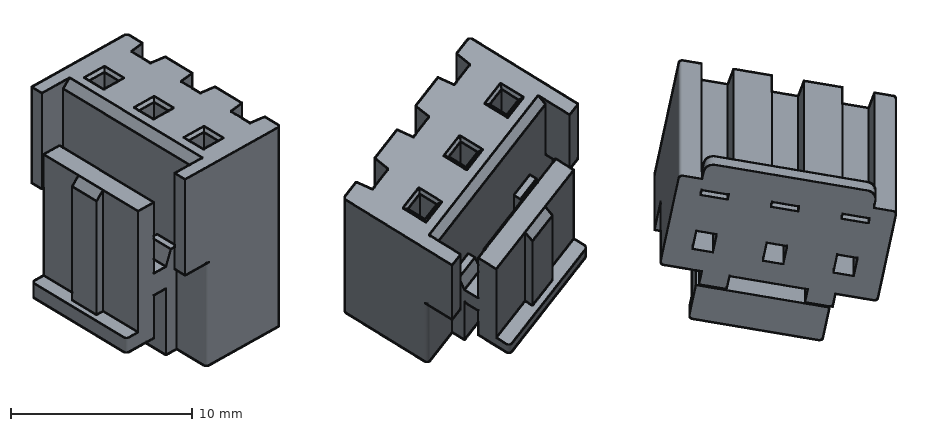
import cadquery as cq


width = 12.2
height = 13.5
depth = 10.55
flange_reach = 1.0

body_depth = 5.68
corner_radius = 0.2
top_chamfer = 0.5

ear_depth = 7.3
ear_thickness = 0.82
ear_bottom = 6.99

pitch = 3.95
contact_count = 3
hole_size = 1.15
hole_lead_in = 0.2
hole_row_depth = 3.82
window_depth = 1.0
window_outer_width = 1.8
window_inner_width = 1.53

flange_width = 9.64
flange_height = 1.0
flange_radius = 0.54
flange_inner_depth = 0.69

lever_width = 7.5
lever_back = 7.42
lever_thickness = 1.22
lever_bottom = 1.6
lever_top = 10.8
foot_front = depth - flange_reach
foot_height = 1.0
foot_radius = 0.22

rib_width = 1.95
rib_thickness = 0.5

hook_width = 5
hook_reach = 0.5
hook_bottom = 9.3
hook_top = 10.15

leg_width = 1.55
leg_depth = 6.51
leg_top_depth = 6.13
hinge_bottom = 4.51
hinge_top = 6.0


def block(x_size, y_front, y_back, z_bottom, z_top):
    """Box centred on X = 0, given by its limits along Y and Z."""
    y_size = y_back - y_front
    z_size = z_top - z_bottom
    box = cq.Workplane("XY").box(x_size, y_size, z_size, centered=(True, False, False))
    return box.translate((0, y_front, z_bottom))


def side_profile(points, x_size, x_center=0):
    """Outline in the YZ plane, extruded evenly about x_center."""
    sketch = cq.Workplane("YZ", origin=(x_center, 0, 0)).polyline(points).close()
    return sketch.extrude(x_size / 2, both=True)


def make_body():
    body = block(width, -body_depth, 0, 0, height)
    body = body.edges("|Z").fillet(corner_radius)
    chamfer_cut = side_profile(
        [
            (-body_depth, height - top_chamfer),
            (-body_depth, height),
            (-body_depth + top_chamfer, height),
        ],
        width - 2 * ear_thickness,
    )
    return body.cut(chamfer_cut)


def make_ear(side):
    ear = block(ear_thickness, -ear_depth, -body_depth + corner_radius, ear_bottom, height)
    return ear.translate((side * (width - ear_thickness) / 2, 0, 0))


def make_flange():
    flange = block(flange_width, -flange_inner_depth, flange_reach, 0, flange_height)
    return flange.edges("|Z and >Y").fillet(flange_radius)


def make_contact_hole(x_center):
    hole = block(hole_size, -hole_row_depth - hole_size / 2, -hole_row_depth + hole_size / 2, 0, height)
    mouth_size = hole_size + 2 * hole_lead_in
    lead_in = (
        cq.Workplane("XY", origin=(0, -hole_row_depth, height - hole_lead_in))
        .rect(hole_size, hole_size)
        .workplane(offset=hole_lead_in)
        .rect(mouth_size, mouth_size)
        .loft()
    )
    return hole.union(lead_in).translate((x_center, 0, 0))


def make_window(x_center):
    outer_half = window_outer_width / 2
    inner_half = window_inner_width / 2
    notch = (
        cq.Workplane("XY", origin=(0, 0, flange_height))
        .polyline(
            [
                (-outer_half, 0),
                (outer_half, 0),
                (inner_half, -window_depth),
                (-inner_half, -window_depth),
            ]
        )
        .close()
        .extrude(height - flange_height)
    )
    slot = block(window_inner_width, -window_depth, -flange_inner_depth, 0, height)
    return notch.union(slot).translate((x_center, 0, 0))


def make_lever():
    lever_front = lever_back + lever_thickness
    rib_front = lever_front + rib_thickness
    foot_top = lever_bottom + foot_height
    plate = block(lever_width, -lever_front, -lever_back, lever_bottom, lever_top)
    foot = block(lever_width, -foot_front, -lever_back, lever_bottom, foot_top)
    foot = foot.edges("|Z and <Y").fillet(foot_radius)
    rib = side_profile(
        [
            (-lever_front, foot_top),
            (-rib_front, foot_top),
            (-rib_front, lever_top - rib_thickness),
            (-lever_front, lever_top),
        ],
        rib_width,
    )
    hook = side_profile(
        [
            (-lever_back, hook_bottom),
            (-lever_back + hook_reach, hook_bottom),
            (-lever_back, hook_top),
        ],
        hook_width,
    )
    return plate.union(foot).union(rib).union(hook)


def make_leg(side):
    return side_profile(
        [
            (-body_depth, 0),
            (-leg_depth, 0),
            (-leg_depth, hinge_bottom),
            (-lever_back, hinge_bottom),
            (-lever_back, hinge_top),
            (-leg_depth, hinge_top),
            (-leg_top_depth, ear_bottom),
            (-body_depth, ear_bottom),
        ],
        leg_width,
        side * (lever_width - leg_width) / 2,
    )


result = make_body().union(make_flange()).union(make_lever())
for side in (-1, 1):
    result = result.union(make_ear(side)).union(make_leg(side))
for index in range(contact_count):
    x_contact = (index - (contact_count - 1) / 2) * pitch
    result = result.cut(make_contact_hole(x_contact)).cut(make_window(x_contact))